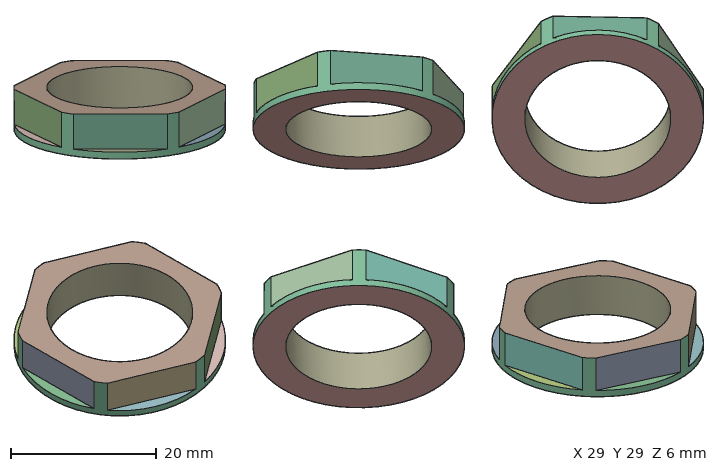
import cadquery as cq
import math

FLANGE_DIAMETER = 29.0
FLANGE_THICKNESS = 1.0
TOTAL_HEIGHT = 6.0
ACROSS_FLATS = 26.0
BORE_DIAMETER = 20.0

HEX_SIDES = 6
ACROSS_CORNERS = ACROSS_FLATS / math.cos(math.pi / HEX_SIDES)


def round_blank():
    """Full-height cylinder that sets the flange edge and the rounded hex corners."""
    return cq.Workplane("XY").circle(FLANGE_DIAMETER / 2).extrude(TOTAL_HEIGHT)


def flange():
    """Thin round flange at the base of the nut."""
    return cq.Workplane("XY").circle(FLANGE_DIAMETER / 2).extrude(FLANGE_THICKNESS)


def hex_body():
    """Hexagon with corners on the X axis, its sharp corners trimmed to the flange diameter."""
    hexagon = cq.Workplane("XY").polygon(HEX_SIDES, ACROSS_CORNERS).extrude(TOTAL_HEIGHT)
    return hexagon.intersect(round_blank())


def bore():
    """Plain through bore along Z."""
    return cq.Workplane("XY").circle(BORE_DIAMETER / 2).extrude(TOTAL_HEIGHT)


result = hex_body().union(flange()).cut(bore())